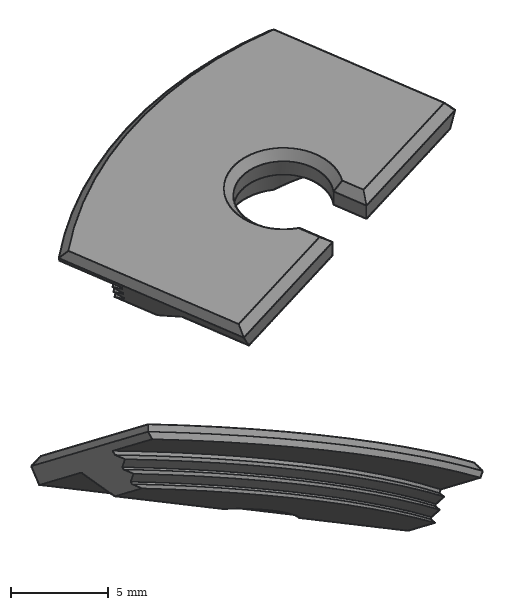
import cadquery as cq
import math

LENGTH = 13.45
WIDTH = 20.23
HEIGHT = 2.9

PLATE_BOTTOM = 2.02
REAR_BOTTOM = 1.48
RAMP_START_X = 7.45
RAMP_END_X = 9.43
FRONT_RADIUS = 23.7
CHAMFER = 0.49

SIDE_TOP_INSET = 0.28
SIDE_BOTTOM_INSET = 1.25
WIDEST_Z = HEIGHT - CHAMFER

HOLE_X = 9.47
HOLE_RADIUS = 2.57
SLOT_WIDTH = 3.24
RELIEF_RADIUS = HOLE_RADIUS + CHAMFER

TOOTH_TIP_X = 2.93
TOOTH_TIP_RADIUS = 21.5
TOOTH_PITCH = 0.75
TOOTH_DEPTH = 0.55
TOOTH_FLANK_ANGLE = 30.0
TOOTH_COUNT = 3

BLANK_HALF_WIDTH = 0.6 * WIDTH


def plate():
    """Round-fronted plate, before its sides are trimmed."""
    corner_x = FRONT_RADIUS - math.sqrt(FRONT_RADIUS**2 - BLANK_HALF_WIDTH**2)
    return (
        cq.Workplane("XY", origin=(0, 0, PLATE_BOTTOM))
        .moveTo(LENGTH, -BLANK_HALF_WIDTH)
        .lineTo(LENGTH, BLANK_HALF_WIDTH)
        .lineTo(corner_x, BLANK_HALF_WIDTH)
        .threePointArc((0, 0), (corner_x, -BLANK_HALF_WIDTH))
        .close()
        .extrude(HEIGHT - PLATE_BOTTOM)
    )


def toothed_disc():
    """Ring-toothed disc whose left rim forms the toothed front face."""
    root_radius = TOOTH_TIP_RADIUS - TOOTH_DEPTH
    flank_height = TOOTH_DEPTH * math.tan(math.radians(TOOTH_FLANK_ANGLE))
    profile = cq.Workplane("XZ").moveTo(0, 0)
    for index in range(TOOTH_COUNT):
        tip_z = index * TOOTH_PITCH
        if index > 0:
            profile = profile.lineTo(root_radius, tip_z - flank_height)
        profile = profile.lineTo(TOOTH_TIP_RADIUS, tip_z)
        profile = profile.lineTo(root_radius, tip_z + flank_height)
    disc = (
        profile.lineTo(root_radius, PLATE_BOTTOM)
        .lineTo(0, PLATE_BOTTOM)
        .close()
        .revolve(360, (0, 0, 0), (0, 1, 0))
    )
    return disc.translate((TOOTH_TIP_X + TOOTH_TIP_RADIUS, 0, 0))


def lower_block():
    """Block under the plate: toothed in front, ramped up to the rear."""
    ramped_block = (
        cq.Workplane("XZ")
        .polyline([
            (0, 0),
            (RAMP_START_X, 0),
            (RAMP_END_X, REAR_BOTTOM),
            (LENGTH, REAR_BOTTOM),
            (LENGTH, PLATE_BOTTOM),
            (0, PLATE_BOTTOM),
        ])
        .close()
        .extrude(BLANK_HALF_WIDTH, both=True)
    )
    return ramped_block.intersect(toothed_disc())


def opening():
    """Through hole, relieved in the ramped block, with a slot out to the rear edge."""
    slot_length = LENGTH - HOLE_X
    hole = cq.Workplane("XY").center(HOLE_X, 0).circle(HOLE_RADIUS).extrude(HEIGHT)
    slot = (
        cq.Workplane("XY")
        .center(HOLE_X + slot_length / 2, 0)
        .rect(slot_length, SLOT_WIDTH)
        .extrude(HEIGHT)
    )
    relief = cq.Workplane("XY").center(HOLE_X, 0).circle(RELIEF_RADIUS).extrude(REAR_BOTTOM)
    return hole.union(slot).union(relief)


def side_envelope():
    """Six-sided cross-section that gives the side faces their slopes."""
    half_width = WIDTH / 2
    half_top = half_width - SIDE_TOP_INSET
    half_bottom = half_width - SIDE_BOTTOM_INSET
    return (
        cq.Workplane("YZ")
        .polyline([
            (-half_bottom, 0),
            (half_bottom, 0),
            (half_width, WIDEST_Z),
            (half_top, HEIGHT),
            (-half_top, HEIGHT),
            (-half_width, WIDEST_Z),
        ])
        .close()
        .extrude(LENGTH)
    )


body = plate().union(lower_block()).cut(opening())
body = body.faces(">Z").chamfer(CHAMFER)
result = body.intersect(side_envelope())